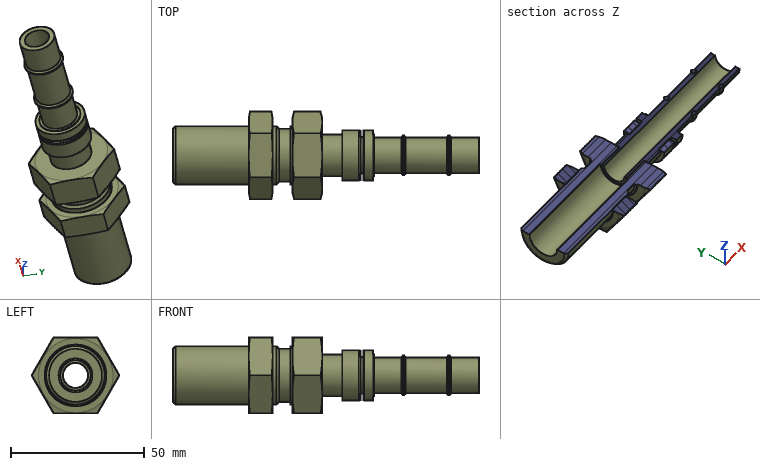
import cadquery as cq
import math


TOTAL_LENGTH = 115.0
NUT_START = 28.5
NUT_WIDTH = 9.0
RELIEF_CONE_START = 38.9
RELIEF_START = 39.9
RELIEF_END = 44.2
HEX_START = 44.8
HEX_END = 56.1
COLLAR_START = 63.6
COLLAR_END = 70.5
FLANGE_START = 71.5
FLANGE_END = 75.2
SHOULDER_WIDTH = 0.3
RING_CENTRES = (86.6, 103.6)

ACROSS_FLATS = 28.5
HEX_CROWN_DIAMETER = 28.0
ADAPTER_CROWN_ANGLE = 15.0
NUT_CROWN_ANGLE = 10.0

TUBE_DIAMETER = 22.0
TUBE_CHAMFER = 1.0
RELIEF_DIAMETER = 20.0
ADAPTER_BORE = 12.8

NUT_COUNTERSINK_DIAMETER = 23.2

SPIGOT_DIAMETER = 11.4
NECK_DIAMETER = 15.8
COLLAR_SEAT_DIAMETER = 13.8
FLANGE_DIAMETER = 19.0
FLANGE_BEVEL = 0.3
FLANGE_BEVEL_DROP = 0.1
TAIL_DIAMETER = 13.5
STEM_BORE = 9.3

COLLAR_BEVEL_LENGTH = 0.7
COLLAR_BEVEL_DROP = 0.2

RING_WIDTH = 1.7
RING_CREST_WIDTH = 0.5
RING_INNER_DIAMETER = 11.5
RING_OUTER_DIAMETER = 15.0


def turned(profile):
    """Solid of revolution about X from a list of (x, radius) points."""
    return cq.Workplane("XY").polyline(profile).close().revolve(360, (0, 0, 0), (1, 0, 0))


def cylinder(start, end, diameter):
    """Solid cylinder on the X axis."""
    return cq.Workplane("YZ", origin=(start, 0, 0)).circle(diameter / 2).extrude(end - start)


def crowned_hexagon(start, end, crown_angle):
    """Hexagonal prism with corners along Y, chamfered conically at both ends."""
    corner_radius = ACROSS_FLATS / math.sqrt(3)
    crown_radius = HEX_CROWN_DIAMETER / 2
    depth = (corner_radius - crown_radius) * math.tan(math.radians(crown_angle))
    prism = (
        cq.Workplane("YZ", origin=(start, 0, 0))
        .polygon(6, 2 * corner_radius)
        .extrude(end - start)
    )
    envelope = turned([
        (start, 0),
        (start, crown_radius),
        (start + depth, corner_radius),
        (end - depth, corner_radius),
        (end, crown_radius),
        (end, 0),
    ])
    return prism.intersect(envelope)


def make_adapter():
    """Tube with a relief groove and an integral hexagon, bored for the stem."""
    tube_radius = TUBE_DIAMETER / 2
    relief_radius = RELIEF_DIAMETER / 2
    tube = turned([
        (0, 0),
        (0, tube_radius - TUBE_CHAMFER),
        (TUBE_CHAMFER, tube_radius),
        (RELIEF_CONE_START, tube_radius),
        (RELIEF_START, relief_radius),
        (RELIEF_END, relief_radius),
        (RELIEF_END, tube_radius),
        (HEX_START, tube_radius),
        (HEX_START, 0),
    ])
    hexagon = crowned_hexagon(HEX_START, HEX_END, ADAPTER_CROWN_ANGLE)
    bore = cylinder(0, HEX_START, ADAPTER_BORE)
    spigot_seat = cylinder(HEX_START, HEX_END, SPIGOT_DIAMETER)
    return tube.union(hexagon).cut(bore).cut(spigot_seat)


def make_lock_nut():
    """Hexagon nut on the tube, its hole countersunk at both faces."""
    end = NUT_START + NUT_WIDTH
    hole_radius = TUBE_DIAMETER / 2
    countersink_radius = NUT_COUNTERSINK_DIAMETER / 2
    countersink_depth = countersink_radius - hole_radius
    hole = turned([
        (NUT_START, 0),
        (NUT_START, countersink_radius),
        (NUT_START + countersink_depth, hole_radius),
        (end - countersink_depth, hole_radius),
        (end, countersink_radius),
        (end, 0),
    ])
    return crowned_hexagon(NUT_START, end, NUT_CROWN_ANGLE).cut(hole)


def make_stem():
    """Spigot, neck, collar seat, flange and grooved hose tail, bored through."""
    spigot_radius = SPIGOT_DIAMETER / 2
    neck_radius = NECK_DIAMETER / 2
    seat_radius = COLLAR_SEAT_DIAMETER / 2
    flange_radius = FLANGE_DIAMETER / 2
    tail_radius = TAIL_DIAMETER / 2
    shoulder_end = FLANGE_END + SHOULDER_WIDTH
    stem = turned([
        (HEX_START, 0),
        (HEX_START, spigot_radius),
        (HEX_END, spigot_radius),
        (HEX_END, neck_radius),
        (COLLAR_START, neck_radius),
        (COLLAR_START, seat_radius),
        (FLANGE_START, seat_radius),
        (FLANGE_START, flange_radius - FLANGE_BEVEL_DROP),
        (FLANGE_START + FLANGE_BEVEL, flange_radius),
        (FLANGE_END, flange_radius),
        (FLANGE_END, neck_radius),
        (shoulder_end, neck_radius),
        (shoulder_end, tail_radius),
        (TOTAL_LENGTH, tail_radius),
        (TOTAL_LENGTH, 0),
    ])
    for centre in RING_CENTRES:
        stem = stem.cut(make_ring_groove(centre))
    return stem.cut(cylinder(HEX_START, TOTAL_LENGTH, STEM_BORE))


def make_ring_groove(centre):
    """Square-sided groove as wide as an O-ring, its floor at the ring's inner face."""
    start = centre - RING_WIDTH / 2
    end = centre + RING_WIDTH / 2
    return cylinder(start, end, TAIL_DIAMETER).cut(cylinder(start, end, RING_INNER_DIAMETER))


def make_collar():
    """Sleeve on the stem's collar seat, slightly bevelled towards the flange."""
    inner_radius = COLLAR_SEAT_DIAMETER / 2
    outer_radius = FLANGE_DIAMETER / 2
    return turned([
        (COLLAR_START, inner_radius),
        (COLLAR_START, outer_radius),
        (COLLAR_END - COLLAR_BEVEL_LENGTH, outer_radius),
        (COLLAR_END, outer_radius - COLLAR_BEVEL_DROP),
        (COLLAR_END, inner_radius),
    ])


def make_o_ring(centre):
    """Ring filling its groove, its outer edge tapering to a narrow flat crest."""
    half_width = RING_WIDTH / 2
    half_crest = RING_CREST_WIDTH / 2
    floor_radius = RING_INNER_DIAMETER / 2
    tail_radius = TAIL_DIAMETER / 2
    crest_radius = RING_OUTER_DIAMETER / 2
    return turned([
        (centre - half_width, floor_radius),
        (centre - half_width, tail_radius),
        (centre - half_crest, crest_radius),
        (centre + half_crest, crest_radius),
        (centre + half_width, tail_radius),
        (centre + half_width, floor_radius),
    ])


adapter = make_adapter()
lock_nut = make_lock_nut()
stem = make_stem()
collar = make_collar()
o_rings = [make_o_ring(centre) for centre in RING_CENTRES]

result = cq.Compound.makeCompound([
    adapter.solids().val(),
    lock_nut.solids().val(),
    stem.solids().val(),
    collar.val(),
    *[ring.val() for ring in o_rings],
])